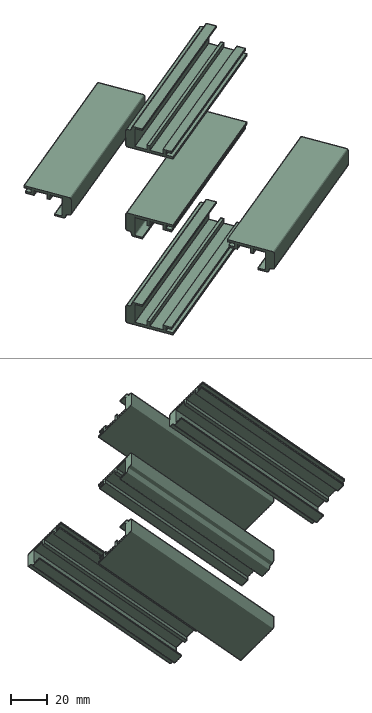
import cadquery as cq
import math

span_x = 148.0
rail_length = 100.0
rail_width = 28.0
rail_height = 15.0
pitch = (span_x - rail_width) / 2

web_thickness = 5.5
floor_thickness = 1.8
edge_thickness = 1.5
corner_radius = 1.5
lip_end = 9.9
lip_thickness = 1.0
lip_fillet = 1.0
shoulder_width = 1.9

rib_start = 12.6
rib_thickness = 1.8
rib_top = 4.9
hook_start = 22.0
hook_thickness = rib_thickness
hook_setback = 0.9
hook_end = rail_width - hook_setback
hook_lip_thickness = 1.3


def make_body_section():
    """Web, floor and top lip, with the S-shaped shoulder beside the lip."""
    r = corner_radius
    shoulder_z = rail_height - 2 * r
    arc_join_x = shoulder_width + r
    lip_underside = rail_height - lip_thickness
    step_x = hook_start + hook_thickness
    diagonal = r * math.sqrt(0.5)
    fillet_mid = lip_fillet * (1 - math.sqrt(0.5))
    return (
        cq.Workplane("XZ")
        .moveTo(r, 0)
        .lineTo(rail_width, 0)
        .lineTo(rail_width, edge_thickness)
        .lineTo(step_x, edge_thickness)
        .lineTo(step_x, floor_thickness)
        .lineTo(web_thickness, floor_thickness)
        .lineTo(web_thickness, lip_underside - lip_fillet)
        .threePointArc(
            (web_thickness + fillet_mid, lip_underside - fillet_mid),
            (web_thickness + lip_fillet, lip_underside),
        )
        .lineTo(lip_end, lip_underside)
        .lineTo(lip_end, rail_height)
        .lineTo(arc_join_x + r, rail_height)
        .threePointArc(
            (arc_join_x + r - diagonal, rail_height - r + diagonal),
            (arc_join_x, rail_height - r),
        )
        .threePointArc(
            (shoulder_width + diagonal, shoulder_z + r - diagonal),
            (shoulder_width, shoulder_z),
        )
        .lineTo(r, shoulder_z)
        .threePointArc((r - diagonal, shoulder_z - r + diagonal), (0, shoulder_z - r))
        .lineTo(0, r)
        .threePointArc((r - diagonal, r - diagonal), (r, 0))
        .close()
    )


def make_bar(x_start, x_end, z_start, z_end):
    """Full-length bar with a rectangular section."""
    bar = cq.Workplane("XY").box(x_end - x_start, rail_length, z_end - z_start, centered=False)
    return bar.translate((x_start, -rail_length / 2, z_start))


def make_rail():
    """One rail, centred on the origin with its floor at the bottom and its web at -X."""
    body = make_body_section().extrude(rail_length / 2, both=True)
    rib = make_bar(rib_start, rib_start + rib_thickness, 0, rib_top)
    hook_wall = make_bar(hook_start, hook_start + hook_thickness, 0, rib_top)
    hook_lip = make_bar(hook_start, hook_end, rib_top - hook_lip_thickness, rib_top)
    rail = body.union(rib).union(hook_wall).union(hook_lip)
    return rail.translate((-rail_width / 2, 0, -rail_height / 2))


def turned(rail, axis):
    """Copy of a centred rail turned half a turn about an axis through the origin."""
    return rail.rotate((0, 0, 0), axis, 180)


upright_rail = make_rail()
flipped_rail = turned(upright_rail, (1, 0, 0))
reversed_rail = turned(upright_rail, (0, 1, 0))

rails = [flipped_rail]
for side in (-1, 1):
    rails.append(upright_rail.translate((0, 0, side * pitch)))
    rails.append(reversed_rail.translate((side * pitch, 0, 0)))

result = cq.Compound.makeCompound([rail.val() for rail in rails])